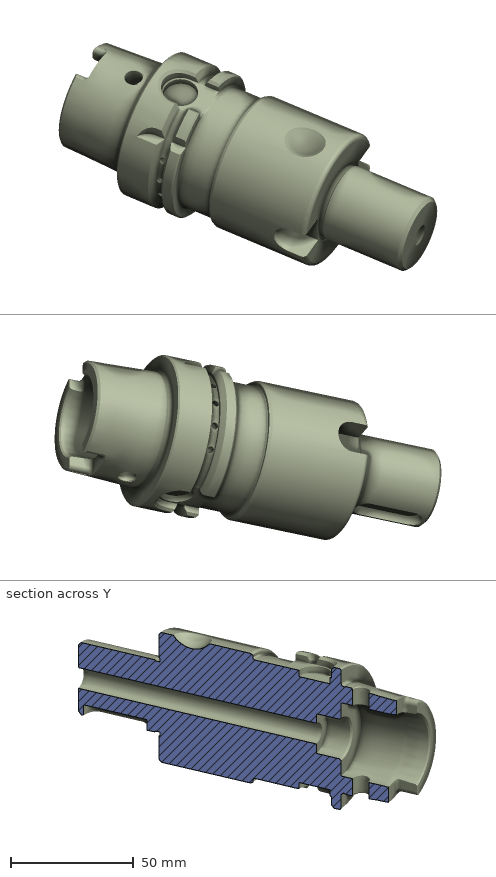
import cadquery as cq
import math

length = 156.0
taper_end = 29.6
relief_start = 30.5
collar_start = 32.0
groove_center = 50.0
flange_end = 58.0
body_start = 73.6
body_end = 118.1
shank_start = 119.5

mouth_radius = 23.0
taper_radius = 24.2
relief_radius = 23.9
collar_radius = 31.5
neck_radius = 26.5
body_radius = 29.0
shank_neck_radius = 15.8
undercut_radius = 17.3
undercut_depth = 0.5
shank_radius = 16.2

mouth_chamfer = 1.0
relief_round = 1.2
edge_break = 0.6
neck_round = 0.8
body_edge_round = 1.9
shank_lead_in = 0.5
shank_chamfer = 1.4

groove_radius = 27.6
groove_floor_half = 1.5
groove_mouth_half = 3.3
groove_knee_half = 2.0
groove_lip_radius = 28.9

bore_mouth_radius = 17.0
bore_mouth_chamfer = 0.6
bore_radius = 16.2
bore_step = 11.7
bore_depth = 32.0
thread_radius = 9.5
thread_depth = 43.7
thread_chamfer = 0.8
coolant_radius = 4.5

cross_hole_x = 22.8
cross_hole_radius = 3.7
cross_hole_chamfer = 0.5

drive_half_width = 6.5
drive_round = 2.0
drive_floor_round = 1.5
top_drive_depth = 6.0
bottom_drive_depth = 9.7

keyway_x = 44.6
keyway_half_width = 8.0
keyway_floor = neck_radius
keyway_chamfer = 1.2
recess_radius = 7.2
recess_depth = 2.8

notch_offset = 20.0
notch_round = 7.8

pin_hole_radius = 1.4
pin_hole_depth = 2.5
pin_hole_tip = 0.8
pin_hole_first_angle = 26.2
pin_hole_step = 20.8
pin_hole_count = 4

side_slot_half_width = 6.9
side_slot_length = 14.0
side_slot_round = 6.7
side_slot_floor = 17.2
dimple_x = 102.6
dimple_radius = 11.0
dimple_center_height = 36.0
key_slot_start = 123.9
key_slot_end = 153.5
key_slot_width = 10.0
key_slot_depth = 4.7

cut_margin = 15.6


def turned_outside():
    """Revolve the outer outline about X."""
    outline = (
        cq.Workplane("XY")
        .moveTo(0, 0)
        .lineTo(0, mouth_radius - mouth_chamfer)
        .lineTo(mouth_chamfer, mouth_radius)
        .lineTo(taper_end, taper_radius)
        .lineTo(relief_start, relief_radius)
        .lineTo(collar_start - relief_round, relief_radius)
        .radiusArc((collar_start, relief_radius + relief_round), -relief_round)
        .lineTo(collar_start, collar_radius - edge_break)
        .lineTo(collar_start + edge_break, collar_radius)
        .lineTo(groove_center - groove_mouth_half, collar_radius)
        .lineTo(groove_center - groove_knee_half, groove_lip_radius)
        .lineTo(groove_center - groove_floor_half, groove_radius)
        .lineTo(groove_center + groove_floor_half, groove_radius)
        .lineTo(groove_center + groove_floor_half, groove_lip_radius)
        .lineTo(groove_center + groove_mouth_half, collar_radius)
        .lineTo(flange_end - edge_break, collar_radius)
        .lineTo(flange_end, collar_radius - edge_break)
        .lineTo(flange_end, neck_radius + neck_round)
        .radiusArc((flange_end + neck_round, neck_radius), -neck_round)
        .lineTo(body_start - edge_break, neck_radius)
        .lineTo(body_start, neck_radius + edge_break)
        .lineTo(body_start, body_radius - edge_break)
        .lineTo(body_start + 2 * edge_break, body_radius)
        .lineTo(body_end - body_edge_round, body_radius)
        .radiusArc((body_end, body_radius - body_edge_round), body_edge_round)
        .lineTo(body_end, undercut_radius)
        .lineTo(body_end - undercut_depth, undercut_radius)
        .lineTo(body_end - undercut_depth, shank_neck_radius)
        .lineTo(shank_start, shank_neck_radius)
        .lineTo(shank_start + shank_lead_in, shank_radius)
        .lineTo(length - shank_chamfer, shank_radius)
        .lineTo(length, shank_radius - shank_chamfer)
        .lineTo(length, 0)
        .close()
    )
    return outline.revolve(360, (0, 0, 0), (1, 0, 0))


def stepped_bore():
    """Hollow taper bore, threaded step and coolant hole."""
    outline = (
        cq.Workplane("XY")
        .moveTo(0, 0)
        .lineTo(0, bore_mouth_radius + bore_mouth_chamfer)
        .lineTo(bore_mouth_chamfer, bore_mouth_radius)
        .lineTo(bore_step, bore_radius)
        .lineTo(bore_depth, bore_radius)
        .lineTo(bore_depth, thread_radius)
        .lineTo(bore_depth + thread_chamfer, thread_radius - thread_chamfer)
        .lineTo(thread_depth, thread_radius - thread_chamfer)
        .lineTo(thread_depth, coolant_radius)
        .lineTo(length, coolant_radius)
        .lineTo(length, 0)
        .close()
    )
    return outline.revolve(360, (0, 0, 0), (1, 0, 0))


def cross_hole():
    """Hole along Z through both walls of the taper, with a small countersink at each wall."""
    drill = (
        cq.Workplane("XY")
        .center(cross_hole_x, 0)
        .circle(cross_hole_radius)
        .extrude(collar_radius, both=True)
    )
    wall_slope = (taper_radius - mouth_radius) / (taper_end - mouth_chamfer)
    wall_height = mouth_radius + wall_slope * (cross_hole_x - mouth_chamfer)
    rim_radius = cross_hole_radius + cross_hole_chamfer
    for end in (1, -1):
        cone = cq.Solid.makeCone(
            0,
            rim_radius,
            rim_radius,
            cq.Vector(cross_hole_x, 0, end * (wall_height - rim_radius)),
            cq.Vector(0, 0, end),
        )
        drill = drill.union(cq.Workplane(cone))
    return drill


def drive_slot(depth):
    """Slot across the upper taper wall, rounded at its floor and over the outer surface."""
    round_center_y = drive_half_width + drive_round
    round_center_z = math.sqrt((mouth_radius - drive_round) ** 2 - round_center_y ** 2)
    lip_scale = mouth_radius / (mouth_radius - drive_round)
    lip_y = round_center_y * lip_scale
    lip_z = round_center_z * lip_scale
    half_side = (
        cq.Workplane("YZ")
        .moveTo(0, 0)
        .lineTo(drive_half_width, 0)
        .lineTo(drive_half_width, round_center_z)
        .radiusArc((lip_y, lip_z), drive_round)
        .lineTo(lip_y, mouth_radius + cut_margin)
        .lineTo(0, mouth_radius + cut_margin)
        .close()
        .extrude(depth)
    )
    tolerance = 0.2
    wall_foot = cq.selectors.BoxSelector(
        (depth - tolerance, drive_half_width - tolerance, tolerance),
        (depth + tolerance, lip_y - tolerance, lip_z),
    )
    half_side = half_side.edges(wall_foot).fillet(drive_floor_round)
    return half_side.union(half_side.mirror("XZ"))


def gripper_keyway():
    """Round-ended keyway at the top, open toward the neck, with a shallow round recess."""
    height = collar_radius + cut_margin - keyway_floor
    floor = cq.Workplane("XY").workplane(offset=keyway_floor)
    round_end = floor.center(keyway_x, 0).circle(keyway_half_width).extrude(height)
    run = flange_end + neck_round - keyway_x
    straight = (
        floor.center(keyway_x + run / 2, 0)
        .rect(run, 2 * keyway_half_width)
        .extrude(height)
    )
    recess = floor.center(keyway_x, 0).circle(recess_radius).extrude(-recess_depth)
    return round_end.union(straight).union(recess)


def keyway_rim(part, side):
    """Edges where a keyway breaks out of the outer diameter: side 1 is the top, -1 the bottom."""
    tolerance = 0.2
    rim_height = math.sqrt(collar_radius ** 2 - keyway_half_width ** 2)
    around_rim = cq.selectors.BoxSelector(
        (keyway_x - 2 * keyway_half_width, -keyway_half_width - tolerance, side * (rim_height - tolerance)),
        (flange_end, keyway_half_width + tolerance, side * (collar_radius + tolerance)),
    )
    return part.edges(around_rim)


def orientation_notch():
    """Flat-floored notch on the -Y, +Z quarter, with a rounded inner end."""
    center_y = -notch_offset - notch_round
    return (
        cq.Workplane("XY")
        .workplane(offset=notch_offset)
        .moveTo(flange_end, -notch_offset)
        .lineTo(keyway_x, -notch_offset)
        .radiusArc((keyway_x - notch_round, center_y), -notch_round)
        .lineTo(keyway_x - notch_round, center_y - cut_margin)
        .lineTo(flange_end, center_y - cut_margin)
        .close()
        .extrude(cut_margin)
    )


def pin_holes():
    """Row of radial holes around the -Y side of the V-groove floor."""
    holes = cq.Workplane("XY")
    for index in range(pin_hole_count):
        angle = math.radians(pin_hole_first_angle - index * pin_hole_step)
        outward = cq.Vector(0, -math.cos(angle), math.sin(angle))
        hole_end = cq.Vector(groove_center, 0, 0) + outward * (groove_radius - pin_hole_depth)
        hole = cq.Solid.makeCylinder(
            pin_hole_radius,
            2 * pin_hole_depth,
            hole_end,
            outward,
        )
        tip = cq.Solid.makeCone(
            pin_hole_radius,
            0,
            pin_hole_tip,
            hole_end,
            outward * -1,
        )
        holes = holes.add(hole).add(tip)
    return holes.combine()


def side_slot():
    """Round-ended slot in the -Y side of the body, open at the shank end."""
    depth = body_radius + cut_margin - side_slot_floor
    return (
        cq.Workplane("XY")
        .box(side_slot_length, depth, 2 * side_slot_half_width, centered=(False, False, True))
        .edges("<X and |Y")
        .fillet(side_slot_round)
        .translate((body_end - side_slot_length, -side_slot_floor - depth, 0))
    )


def shank_key_slot():
    """Round-ended key slot in the underside of the shank."""
    return (
        cq.Workplane("XY")
        .workplane(offset=key_slot_depth - shank_radius)
        .center((key_slot_start + key_slot_end) / 2, 0)
        .slot2D(key_slot_end - key_slot_start, key_slot_width)
        .extrude(-cut_margin)
    )


def body_dimple():
    """Spherical dimple in the top of the body."""
    return cq.Workplane("XY").sphere(dimple_radius).translate((dimple_x, 0, dimple_center_height))


result = turned_outside()
for keyway in (gripper_keyway(), gripper_keyway().mirror("XY")):
    result = result.cut(keyway)
for side in (1, -1):
    result = keyway_rim(result, side).chamfer(keyway_chamfer)
result = result.cut(stepped_bore())
result = result.cut(cross_hole())
result = result.cut(drive_slot(top_drive_depth))
result = result.cut(drive_slot(bottom_drive_depth).mirror("XY"))
result = result.cut(orientation_notch())
result = result.cut(pin_holes())
result = result.cut(side_slot())
result = result.cut(side_slot().mirror("XZ"))
result = result.cut(body_dimple())
result = result.cut(shank_key_slot())